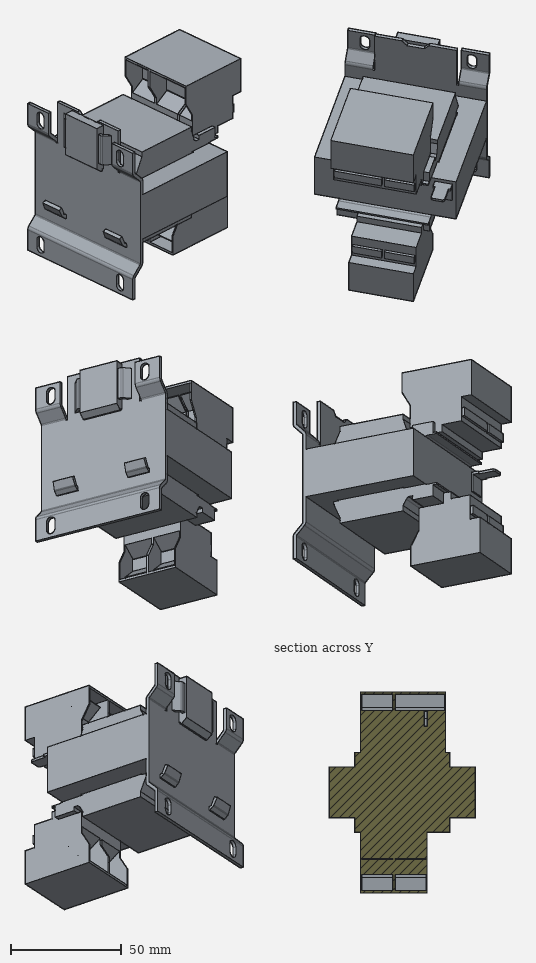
import cadquery as cq
import math


plate_width = 66.0
plate_thickness = 1.6
flange_front = -6.5
flange_back = flange_front + plate_thickness
shoulder_top = 18.3
upper_flange_top = 35.5
lower_flange_bottom = -40.5
upper_bend = 19.0
lower_bend = -24.0
bend_step = -flange_back
bend_shift = plate_thickness * math.tan(math.radians(45 / 2))
bend_inner_radius = 0.7
bend_outer_radius = bend_inner_radius + plate_thickness
tongue_half_width = 19.2
tongue_top = 39.7
wing_inner_x = 20.0
notch_half_width = 6.4
notch_depth = 2.45
slot_x = 25.0
slot_width = 4.45
slot_length = 8.3
slot_heights = (29.7, -34.6)

hook_centre_x = 19.0
hook_width = 11.3
hook_taper = 0.5
hook_bend_radius = 1.1
clip_half_width = 9.8
clip_front = -5.9
clip_top = 38.95
clip_bottom = 15.6
clip_bevel_top = 17.8
tab_half_width = 15.1
tab_thickness = 1.45
tab_front = -4.9
tab_bend_radius = 1.2
tab_bottom = 20.6

core_length = 54.9
core_half_height = 11.5
coil_half_width = 21.5
gap_width = 0.7
gap_depth = 1.8
gap_front = 10.5
gap_back = 43.95
coil_front = 11.35
coil_back = 43.6
arm_top = 18.1
arm_end = 58.8

block_left = -18.9
pole_split = -3.7
upper_block_right = 19.6
lower_block_right = 11.3
block_top = 45.4
block_back = 77.45
block_front = 41.95
block_step = 72.4
block_foot = 46.2
wall = 0.6
roof = 1.2
cell_floor_low = 25.5
cell_floor_high = 30.15
cell_floor_back = 53.1
flap_thickness = 0.8
joint_centre_x = 10.6
joint_width = 1.2
joint_depth = 0.2
snap_size = 1.3
snap_height = 4.1

lug_centre_x = -27.15
lug_thickness = 1.2
lug_top = 9.7
lug_plate_thickness = 0.7
lug_plate_bottom = 0.3
lug_base_width = 8.2
lug_base_end = 58.3
lug_blade_width = 6.4
lug_blade_end = 66.1
lug_corner = 0.7


def box(x_range, y_range, z_range):
    """Box between the given limits."""
    size = [high - low for low, high in (x_range, y_range, z_range)]
    return cq.Workplane("XY").box(*size, centered=False).translate((x_range[0], y_range[0], z_range[0]))


def side_prism(yz_points, x_min, x_max):
    """Side profile drawn in Y and Z, drawn out along X."""
    return cq.Workplane("YZ", origin=(x_min, 0, 0)).polyline(yz_points).close().extrude(x_max - x_min)


def flip(shape):
    """Mirror image below the middle of the core."""
    return shape.mirror("XY")


def round_edge(shape, y, z, radius):
    """Round the edge along X that passes through the given Y and Z."""
    x_middle = shape.val().BoundingBox().center.x
    edge = cq.selectors.NearestToPointSelector((x_middle, y, z))
    return shape.edges(edge).fillet(radius)


def bent_sheet(start_z, bend_z, end_z, x_min, x_max):
    """Sheet that runs from start_z along the plate, steps forward at bend_z and ends at end_z."""
    front = -plate_thickness
    way = math.copysign(1, end_z - start_z)
    back_bend_z = bend_z + way * bend_shift
    front_step_z = bend_z + way * bend_step
    back_step_z = back_bend_z + way * bend_step
    sheet = side_prism([
        (0, start_z),
        (0, back_bend_z),
        (flange_back, back_step_z),
        (flange_back, end_z),
        (flange_front, end_z),
        (flange_front, front_step_z),
        (front, bend_z),
        (front, start_z),
    ], x_min, x_max)
    sheet = round_edge(sheet, 0, back_bend_z, bend_outer_radius)
    sheet = round_edge(sheet, flange_back, back_step_z, bend_inner_radius)
    sheet = round_edge(sheet, flange_front, front_step_z, bend_outer_radius)
    return round_edge(sheet, front, bend_z, bend_inner_radius)


def mounting_plate():
    half = plate_width / 2
    lower_flange = bent_sheet(shoulder_top, lower_bend, lower_flange_bottom, -half, half)
    left_wing = bent_sheet(shoulder_top, upper_bend, upper_flange_top, -half, -wing_inner_x)
    right_wing = bent_sheet(shoulder_top, upper_bend, upper_flange_top, wing_inner_x, half)
    plate = lower_flange.union(left_wing).union(right_wing)

    notch_bottom_half = notch_half_width - notch_depth
    tongue = (
        cq.Workplane("XZ")
        .polyline([
            (-tongue_half_width, shoulder_top),
            (-tongue_half_width, tongue_top),
            (-notch_half_width, tongue_top),
            (-notch_bottom_half, tongue_top - notch_depth),
            (notch_bottom_half, tongue_top - notch_depth),
            (notch_half_width, tongue_top),
            (tongue_half_width, tongue_top),
            (tongue_half_width, shoulder_top),
        ])
        .close()
        .extrude(plate_thickness)
    )
    plate = plate.union(tongue)

    slots = (
        cq.Workplane("XZ")
        .pushPoints([(x, z) for x in (-slot_x, slot_x) for z in slot_heights])
        .slot2D(slot_length, slot_width, 90)
        .extrude(-flange_front)
    )
    return plate.cut(slots)


def hook(centre_x):
    """Bent hook below the rail seat, narrowing towards its tip."""
    bend_y, bend_z = -4.2, -16.7
    root_z, tip_z = -18.3, -12.0
    profile = [
        (-plate_thickness, -16.4),
        (-2.7, -16.1),
        (-4.3, tip_z),
        (clip_front, -12.8),
        (bend_y, bend_z),
        (-2.2, root_z),
        (-plate_thickness, root_z),
    ]
    left = centre_x - hook_width / 2
    strip = side_prism(profile, left, left + hook_width)
    strip = round_edge(strip, bend_y, bend_z, hook_bend_radius)

    root_half = hook_width / 2
    tip_half = root_half - hook_taper
    outline = (
        cq.Workplane("XZ")
        .polyline([
            (centre_x - root_half, root_z),
            (centre_x - tip_half, tip_z),
            (centre_x + tip_half, tip_z),
            (centre_x + root_half, root_z),
        ])
        .close()
        .extrude(-flange_front)
    )
    return strip.intersect(outline)


def rail_clip():
    front = -plate_thickness
    lip_back, lip_top = -2.3, 16.5
    profile = [
        (front, clip_top),
        (clip_front, clip_top),
        (clip_front, clip_bevel_top),
        (-3.1, clip_bottom),
        (lip_back, clip_bottom),
        (lip_back, lip_top),
        (front, lip_top),
    ]
    clip = side_prism(profile, -clip_half_width, clip_half_width)

    reach = front - tab_front
    slant = tab_thickness * math.sqrt(2)
    tab = (
        cq.Workplane("XY", origin=(0, 0, tab_bottom))
        .polyline([
            (tab_half_width, front),
            (tab_half_width - reach, tab_front),
            (clip_half_width, tab_front),
            (clip_half_width, tab_front + tab_thickness),
            (tab_half_width - slant - reach + tab_thickness, tab_front + tab_thickness),
            (tab_half_width - slant, front),
        ])
        .close()
        .extrude(upper_flange_top - tab_bottom)
    )
    bend_corner = (tab_half_width - reach, tab_front, (tab_bottom + upper_flange_top) / 2)
    tab = tab.edges(cq.selectors.NearestToPointSelector(bend_corner)).fillet(tab_bend_radius)
    return clip.union(tab).union(tab.mirror("YZ"))


def core():
    half = plate_width / 2
    body = box((-half, half), (0, core_length), (-core_half_height, core_half_height))
    for x_min in (-coil_half_width - gap_width, coil_half_width):
        groove = box((x_min, x_min + gap_width), (gap_front, gap_back),
                     (core_half_height - gap_depth, core_half_height))
        body = body.cut(groove).cut(flip(groove))
    return body


def bobbin_half(coil_top, shoulder, nose_y, nose_z):
    """Coil above the core with the bobbin arm that carries a terminal block."""
    arm_underside = 11.9
    ledge_end = 60.7
    ledge_top = 12.7
    saddle = 16.1
    saddle_end = 48.4
    profile = [
        (nose_y, core_half_height),
        (nose_y, nose_z),
        (coil_front, shoulder),
        (coil_front, coil_top),
        (coil_back, coil_top),
        (coil_back, shoulder),
        (45.2, 17.2),
        (46.3, saddle),
        (saddle_end, saddle),
        (saddle_end, arm_top),
        (arm_end, arm_top),
        (arm_end, ledge_top),
        (ledge_end, ledge_top),
        (ledge_end, arm_underside),
        (56.1, arm_underside),
        (core_length, core_half_height),
    ]
    return side_prism(profile, -coil_half_width, coil_half_width)


def terminal_block(right, snap_bottom):
    """Upper terminal block: a left pole, and a right pole reaching to the given side."""
    slope_top, slope_foot = 35.9, 28.7
    overhang = 28.2
    underside = 16.5
    leg_bottom, leg_back = 13.1, 62.6
    body_profile = [
        (block_back, block_top),
        (block_front, block_top),
        (block_front, slope_top),
        (block_foot, slope_foot),
        (block_foot, arm_top),
        (arm_end, arm_top),
        (arm_end, leg_bottom),
        (leg_back, leg_bottom),
        (leg_back, underside),
        (block_step, underside),
        (block_step, overhang),
        (block_back, overhang),
    ]
    block = side_prism(body_profile, block_left, right)

    ceiling = block_top - roof
    rib_front, rib_bottom, rib_top = 54.2, 33.4, 38.3
    cell_profile = [
        (block_foot, cell_floor_low),
        (cell_floor_back, cell_floor_high),
        (cell_floor_back, rib_bottom),
        (rib_front, rib_bottom),
        (rib_front, rib_top),
        (core_length, rib_top),
        (core_length, ceiling),
        (block_front, ceiling),
        (block_front, cell_floor_low),
    ]

    flap_back = 53.5
    flap_front = flap_back - flap_thickness
    flap_profile = [
        (rib_front, cell_floor_high),
        (rib_front, rib_bottom),
        (flap_back, rib_bottom),
        (flap_back, 36.6),
        (46.6, 42.2),
        (46.1, 41.6),
        (flap_front, 36.1),
        (flap_front, cell_floor_high),
    ]
    for left_side, right_side in ((block_left, pole_split), (pole_split, right)):
        left_wall = left_side + wall
        right_wall = right_side - wall
        block = block.cut(side_prism(cell_profile, left_wall, right_wall))
        block = block.union(side_prism(flap_profile, left_wall, right_wall))
        snap = box((left_wall, right_wall), (block_step, block_step + snap_size),
                   (snap_bottom, snap_bottom + snap_height))
        block = block.union(snap)
    return block


def pole_joint():
    """Shallow joint across the slope and foot of the wide upper pole, open through its flap."""
    profile = [
        (block_foot, arm_top),
        (block_foot, cell_floor_low),
        (block_front, cell_floor_low),
        (block_front, block_top - roof),
        (cell_floor_back, block_top - roof),
        (cell_floor_back, cell_floor_high - joint_depth),
        (block_foot + joint_depth, cell_floor_low - joint_depth),
        (block_foot + joint_depth, arm_top),
    ]
    left = joint_centre_x - joint_width / 2
    return side_prism(profile, left, left + joint_width)


def earth_lug():
    def across(width):
        return lug_centre_x - width / 2, lug_centre_x + width / 2

    heights = (lug_top - lug_thickness, lug_top)
    back_plate = box(across(lug_base_width), (core_length, core_length + lug_plate_thickness),
                     (lug_plate_bottom, lug_top))
    base = box(across(lug_base_width), (core_length, lug_base_end), heights)
    blade = box(across(lug_blade_width), (core_length, lug_blade_end), heights)
    blade = blade.edges("|Z and >Y").chamfer(lug_corner)
    return back_plate.union(base).union(blade)


result = mounting_plate().union(core())
for hook_x in (-hook_centre_x, hook_centre_x):
    result = result.union(hook(hook_x))
upper_bobbin = bobbin_half(coil_top=24.4, shoulder=22.1, nose_y=6.4, nose_z=11.9)
lower_bobbin = flip(bobbin_half(coil_top=22.5, shoulder=19.9, nose_y=8.0, nose_z=12.5))
upper_block = terminal_block(upper_block_right, snap_bottom=19.1).cut(pole_joint())
lower_block = flip(terminal_block(lower_block_right, snap_bottom=21.5))
for component in (rail_clip(), upper_bobbin, lower_bobbin, upper_block, lower_block, earth_lug()):
    result = result.union(component)